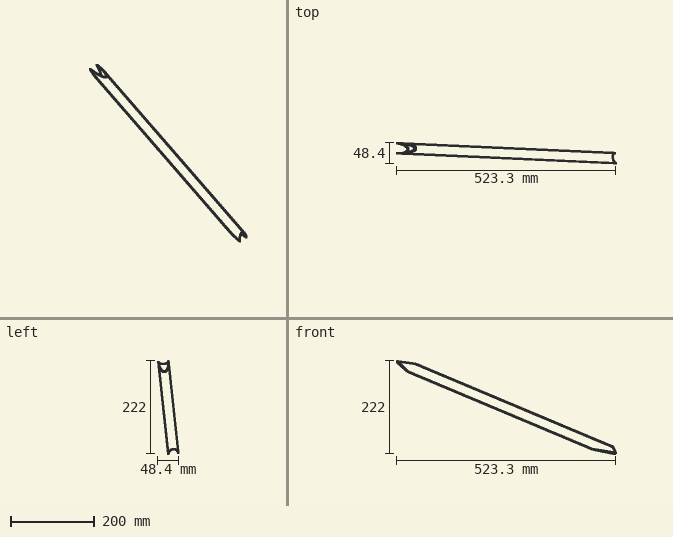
import cadquery as cq
import math

tube_diameter = 25.0
wall = 1.0

run_x = 522.0
drop_y = 23.5
drop_z = 219.5

start_upper_angle = 15.5
start_lower_angle = 20.0
start_crease_roll = -6.0
start_crease_yaw = 3.0
end_upper_angle = 45.0
end_lower_angle = 12.0
end_crease_roll = -9.0
end_crease_yaw = 3.0

length = math.sqrt(run_x**2 + drop_y**2 + drop_z**2)
heading = -math.degrees(math.atan2(drop_y, run_x))
descent = math.degrees(math.asin(drop_z / length))
outer_radius = tube_diameter / 2
overrun = tube_diameter
cutter_size = 20 * tube_diameter


def make_tube():
    """Tube along X, with its first node at the origin."""
    return (
        cq.Workplane("YZ", origin=(-overrun, 0, 0))
        .circle(outer_radius)
        .circle(outer_radius - wall)
        .extrude(length + 2 * overrun)
    )


def mitre_cutter(node_x, inward, side, angle, roll, yaw):
    """Block on the waste side of one mitre.

    inward is the X direction of the kept tube, side is +1 for the upper
    mitre and -1 for the lower one.
    """
    block = cq.Workplane("XY").box(cutter_size, cutter_size, cutter_size)
    block = block.translate((0, 0, side * cutter_size / 2))
    return (
        block.rotate((0, 0, 0), (0, 1, 0), -inward * side * angle)
        .rotate((0, 0, 0), (1, 0, 0), roll)
        .rotate((0, 0, 0), (0, 0, 1), yaw)
        .translate((node_x, 0, 0))
    )


tube = make_tube()
for node_x, inward, upper_angle, lower_angle, roll, yaw in (
    (0, 1, start_upper_angle, start_lower_angle, start_crease_roll, start_crease_yaw),
    (length, -1, end_upper_angle, end_lower_angle, end_crease_roll, end_crease_yaw),
):
    tube = tube.cut(mitre_cutter(node_x, inward, 1, upper_angle, roll, yaw))
    tube = tube.cut(mitre_cutter(node_x, inward, -1, lower_angle, roll, yaw))

result = tube.rotate((0, 0, 0), (0, 1, 0), descent).rotate((0, 0, 0), (0, 0, 1), heading)